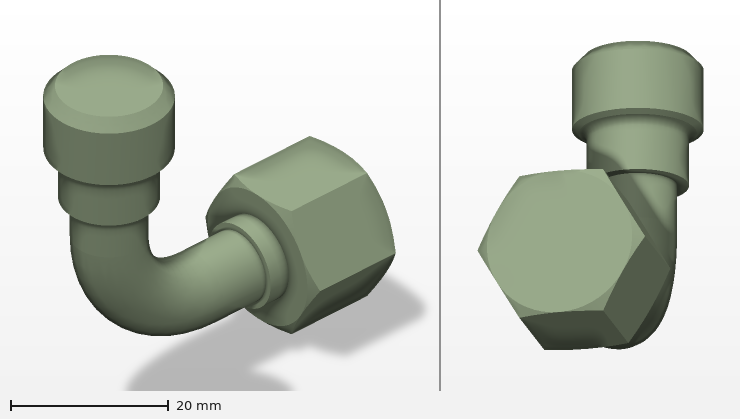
import cadquery as cq
import math

tube_radius = 5.0
bend_radius = 15.0

nut_end = 39.65
nut_length = 14.5
nut_flats = 19.0
nut_corners = nut_flats / math.cos(math.radians(30))
nut_chamfer_angle = 30
collar_radius = 5.9
collar_length = 3.0
nut_face = nut_end - nut_length

cap_top = 38.0
cap_radius = 8.35
cap_bottom = 28.0
cap_chamfer_width = 1.5
cap_chamfer_height = 1.6
cap_cone_angle = 30
neck_radius = 6.5
neck_bottom = 20.95
neck_fillet = 1.0


def make_tube():
    """Swept round bar with a quarter bend, running from the nut face into the cap."""
    bend_middle = bend_radius * (1 - math.sqrt(0.5))
    path = (
        cq.Workplane("YZ")
        .moveTo(nut_face, 0)
        .lineTo(bend_radius, 0)
        .threePointArc((bend_middle, bend_middle), (0, bend_radius))
        .lineTo(0, cap_bottom)
    )
    profile = cq.Workplane("XZ", origin=(0, nut_face, 0)).circle(tube_radius)
    return profile.sweep(path)


def make_nut():
    """Hexagon trimmed by a turned blank with coned ends."""
    slope = math.tan(math.radians(nut_chamfer_angle))
    corner_radius = nut_corners / 2
    flat_radius = nut_flats / 2
    cone_height = (corner_radius - flat_radius) * slope
    hexagon = (
        cq.Workplane("XZ", origin=(0, nut_end, 0))
        .polygon(6, nut_corners)
        .extrude(nut_length)
    )
    blank = (
        cq.Workplane("XY")
        .moveTo(0, nut_face)
        .lineTo(flat_radius, nut_face)
        .lineTo(corner_radius, nut_face + cone_height)
        .lineTo(corner_radius, nut_end - cone_height)
        .lineTo(flat_radius, nut_end)
        .lineTo(0, nut_end)
        .close()
        .revolve(360, (0, 0, 0), (0, 1, 0))
    )
    return hexagon.intersect(blank)


def make_collar():
    return cq.Workplane("XZ", origin=(0, nut_face, 0)).circle(collar_radius).extrude(collar_length)


def make_cap():
    """Turned cap: plain neck, concave fillet, shallow cone, cylinder and top chamfer."""
    fillet_radius = neck_radius + neck_fillet
    fillet_bottom = cap_bottom - neck_fillet
    cone_height = (cap_radius - fillet_radius) * math.tan(math.radians(cap_cone_angle))
    fillet_middle = neck_fillet * math.sqrt(0.5)
    return (
        cq.Workplane("XZ")
        .moveTo(0, neck_bottom)
        .lineTo(neck_radius, neck_bottom)
        .lineTo(neck_radius, fillet_bottom)
        .threePointArc(
            (fillet_radius - fillet_middle, fillet_bottom + fillet_middle),
            (fillet_radius, cap_bottom),
        )
        .lineTo(cap_radius, cap_bottom + cone_height)
        .lineTo(cap_radius, cap_top - cap_chamfer_height)
        .lineTo(cap_radius - cap_chamfer_width, cap_top)
        .lineTo(0, cap_top)
        .close()
        .revolve(360, (0, 0, 0), (0, 1, 0))
    )


result = make_tube().union(make_collar()).union(make_nut()).union(make_cap())